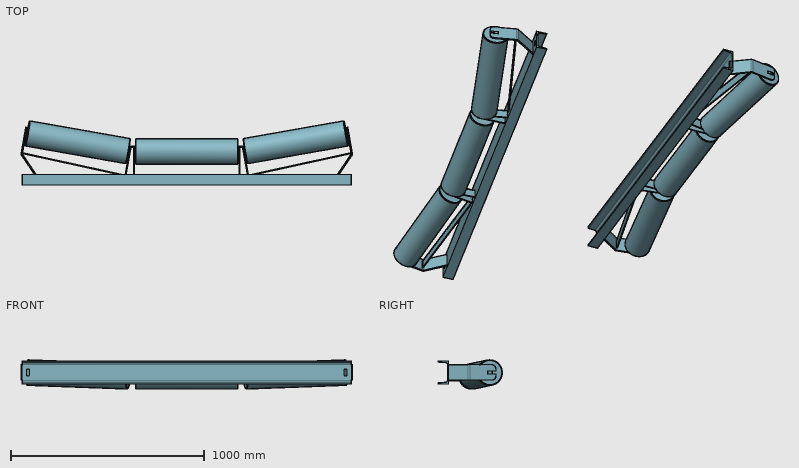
import cadquery as cq
import math


BEAM_LENGTH = 1700.0
BEAM_HEIGHT = 120.0
FLANGE_WIDTH = 55.0
WEB_THICKNESS = 7.0
FLANGE_THICKNESS = 9.0
FLANGE_TAPER = 0.08
ROOT_RADIUS = 9.0
TOE_RADIUS = 4.5
MOUNT_SLOT_WIDTH = 16.0
MOUNT_SLOT_HEIGHT = 37.0
MOUNT_SLOT_X = 820.0

ROLLER_RADIUS = 66.5
ROLLER_LENGTH = 530.0
ROLLER_CHAMFER = 4.0
SHAFT_RADIUS = 12.5
SHAFT_FLAT_WIDTH = 14.0
END_GAP = 5.0
CENTRE_AXIS_Y = 118.8
CENTRE_AXIS_Z = -20.0

WING_START_X = -302.0
WING_START_Y = 120.3
TROUGH_ANGLE = math.radians(10.0)
LIFT_ANGLE = math.radians(2.1)

INNER_PLATE = 6.0
INNER_TOP_Y = 146.0
INNER_WIDTH = 50.0

OUTER_PLATE = 8.0
OUTER_WIDTH = 80.0
OUTER_REACH = 30.0
OUTER_CORNER_RADIUS = 22.0
KNEE_Y = 103.5
KNEE_INNER_RADIUS = 6.0
LEG_ANGLE = math.radians(34.0)

BRACE_PLATE = 5.0
BRACE_WIDTH = 50.0
BRACE_ANGLE = math.radians(12.3)
BRACE_FOOT_X = -332.0

axis_x = -math.cos(TROUGH_ANGLE)
axis_y = math.sin(TROUGH_ANGLE)
square_x = math.sin(TROUGH_ANGLE)
square_y = math.cos(TROUGH_ANGLE)

wing_plane = cq.Plane(
    origin=(WING_START_X, WING_START_Y, CENTRE_AXIS_Z),
    xDir=(square_x, square_y, 0),
    normal=(axis_x * math.cos(LIFT_ANGLE), axis_y * math.cos(LIFT_ANGLE), math.sin(LIFT_ANGLE)),
)
centre_plane = cq.Plane(
    origin=(-ROLLER_LENGTH / 2, CENTRE_AXIS_Y, CENTRE_AXIS_Z),
    xDir=(0, 1, 0),
    normal=(1, 0, 0),
)

inner_overhang = END_GAP + INNER_PLATE
outer_overhang = END_GAP + OUTER_PLATE
strap_outer_offset = ROLLER_LENGTH + outer_overhang


def wing_face_x(axial_offset, y):
    """X at height y of the upright face square to the wing axis, outwards from its inner end."""
    return WING_START_X - axial_offset / math.cos(TROUGH_ANGLE) + (y - WING_START_Y) * math.tan(TROUGH_ANGLE)


def extrude_along_z(points, width):
    """Prism with an XY outline, centred on Z = 0."""
    return cq.Workplane("XY").polyline(points).close().extrude(width / 2, both=True)


def nearest_edge(x, y, z):
    return cq.selectors.NearestToPointSelector((x, y, z))


def make_beam():
    half_height = BEAM_HEIGHT / 2
    taper_half_rise = FLANGE_TAPER * FLANGE_WIDTH / 2
    toe_z = half_height - FLANGE_THICKNESS + taper_half_rise
    root_z = half_height - FLANGE_THICKNESS - taper_half_rise + FLANGE_TAPER * WEB_THICKNESS
    beam = (
        cq.Workplane("YZ", origin=(-BEAM_LENGTH / 2, 0, 0))
        .moveTo(0, -half_height)
        .lineTo(-FLANGE_WIDTH, -half_height)
        .lineTo(-FLANGE_WIDTH, -toe_z)
        .lineTo(-WEB_THICKNESS, -root_z)
        .lineTo(-WEB_THICKNESS, root_z)
        .lineTo(-FLANGE_WIDTH, toe_z)
        .lineTo(-FLANGE_WIDTH, half_height)
        .lineTo(0, half_height)
        .close()
        .extrude(BEAM_LENGTH)
    )
    for side in (-1, 1):
        beam = beam.edges(nearest_edge(0, -WEB_THICKNESS, side * root_z)).fillet(ROOT_RADIUS)
        beam = beam.edges(nearest_edge(0, -FLANGE_WIDTH, side * toe_z)).fillet(TOE_RADIUS)
    mount_slots = (
        cq.Workplane("XZ")
        .pushPoints([(-MOUNT_SLOT_X, 0), (MOUNT_SLOT_X, 0)])
        .slot2D(MOUNT_SLOT_HEIGHT, MOUNT_SLOT_WIDTH, 90)
        .extrude(WEB_THICKNESS)
    )
    return beam.cut(mount_slots)


def make_shaft(plane, start, end):
    """Shaft with two flats, between two places along the plane's normal."""
    length = end - start
    flats = cq.Workplane(plane).workplane(offset=start).rect(2 * SHAFT_RADIUS, SHAFT_FLAT_WIDTH)
    round_bar = cq.Workplane(plane).workplane(offset=start).circle(SHAFT_RADIUS).extrude(length)
    return round_bar.intersect(flats.extrude(length))


def make_roller(plane, start_overhang, end_overhang):
    """Roller with a shaft stub at each end."""
    drum = (
        cq.Workplane(plane)
        .circle(ROLLER_RADIUS)
        .extrude(ROLLER_LENGTH)
        .edges("%CIRCLE")
        .chamfer(ROLLER_CHAMFER)
    )
    return drum.union(make_shaft(plane, -start_overhang, ROLLER_LENGTH + end_overhang))


def make_inner_support():
    """Bridge with an upright beside the centre roller and one square to the wing roller."""
    centre_side_x = -ROLLER_LENGTH / 2 - END_GAP
    centre_inside_x = centre_side_x - INNER_PLATE
    underside_y = INNER_TOP_Y - INNER_PLATE
    return extrude_along_z(
        [
            (wing_face_x(-END_GAP, 0), 0),
            (wing_face_x(-END_GAP, INNER_TOP_Y), INNER_TOP_Y),
            (centre_side_x, INNER_TOP_Y),
            (centre_side_x, 0),
            (centre_inside_x, 0),
            (centre_inside_x, underside_y),
            (wing_face_x(-inner_overhang, underside_y), underside_y),
            (wing_face_x(-inner_overhang, 0), 0),
        ],
        INNER_WIDTH,
    ).translate((0, 0, CENTRE_AXIS_Z))


def make_outer_support():
    """Strap that leans out from the beam, bends at the knee and runs up past the wing shaft."""
    knee_x = wing_face_x(strap_outer_offset, KNEE_Y)
    bend = TROUGH_ANGLE + LEG_ANGLE
    inward_angle = (LEG_ANGLE - TROUGH_ANGLE) / 2
    mitre = OUTER_PLATE / math.cos(bend / 2)
    inner_knee = (knee_x + mitre * math.cos(inward_angle), KNEE_Y + mitre * math.sin(inward_angle))
    end_x = WING_START_X + strap_outer_offset * axis_x + OUTER_REACH * square_x
    end_y = WING_START_Y + strap_outer_offset * axis_y + OUTER_REACH * square_y
    inner_end = (end_x - OUTER_PLATE * axis_x, end_y - OUTER_PLATE * axis_y)
    foot_x = knee_x + KNEE_Y * math.tan(LEG_ANGLE)
    strap = extrude_along_z(
        [
            (foot_x, 0),
            (knee_x, KNEE_Y),
            (end_x, end_y),
            inner_end,
            inner_knee,
            (foot_x + OUTER_PLATE / math.cos(LEG_ANGLE), 0),
        ],
        OUTER_WIDTH,
    )
    strap = strap.edges(nearest_edge(knee_x, KNEE_Y, 0)).fillet(KNEE_INNER_RADIUS + OUTER_PLATE)
    strap = strap.edges(nearest_edge(*inner_knee, 0)).fillet(KNEE_INNER_RADIUS)
    for side in (-1, 1):
        corner = nearest_edge((end_x + inner_end[0]) / 2, (end_y + inner_end[1]) / 2, side * OUTER_WIDTH / 2)
        strap = strap.edges(corner).fillet(OUTER_CORNER_RADIUS)
    return strap.cut(make_shaft_slot())


def make_shaft_slot():
    """Cutter for the slot that holds the shaft flats and opens at the strap's end."""
    slot_length = SHAFT_RADIUS + 2 * OUTER_REACH
    return (
        cq.Workplane(wing_plane)
        .workplane(offset=ROLLER_LENGTH)
        .center(slot_length / 2 - SHAFT_RADIUS, 0)
        .rect(slot_length, SHAFT_FLAT_WIDTH)
        .extrude(2 * outer_overhang)
    )


def make_brace(outer_support):
    """Flat bar from the beam up to the inner side of the outer support's knee."""
    end_x = wing_face_x(strap_outer_offset - OUTER_PLATE / 2, KNEE_Y)
    end_y = (BRACE_FOOT_X - end_x) * math.tan(BRACE_ANGLE)
    brace = extrude_along_z(
        [
            (BRACE_FOOT_X, 0),
            (end_x, end_y),
            (end_x, end_y - BRACE_PLATE / math.cos(BRACE_ANGLE)),
            (BRACE_FOOT_X - BRACE_PLATE / math.sin(BRACE_ANGLE), 0),
        ],
        BRACE_WIDTH,
    )
    return brace.cut(outer_support)


beam = make_beam()
centre_roller = make_roller(centre_plane, inner_overhang, inner_overhang)
wing_roller = make_roller(wing_plane, inner_overhang, outer_overhang)
inner_support = make_inner_support().cut(centre_roller).cut(wing_roller)
outer_support = make_outer_support()
brace = make_brace(outer_support)

bodies = [beam.solids().val(), centre_roller.solids().val()]
for left_body in (wing_roller, inner_support, outer_support, brace):
    bodies.append(left_body.solids().val())
    bodies.append(left_body.mirror("YZ").solids().val())

result = cq.Compound.makeCompound(bodies)